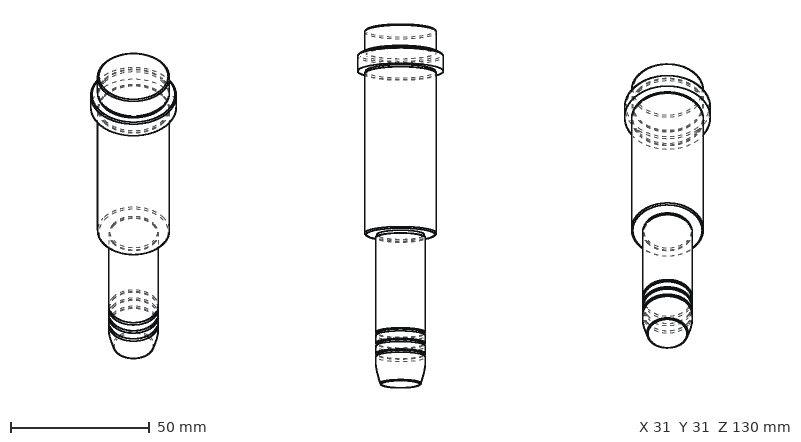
import cadquery as cq

total_height = 130.0
head_bottom = 122.1
flange_top = 121.2
flange_bottom = 115.0
body_bottom = 55.0
nose_height = 7.0

flange_radius = 15.5
body_radius = 13.0
pin_radius = 9.0
tip_radius = 7.4

edge_chamfer = 0.5
relief_depth = 0.4
relief_height = 0.8
neck_depth = 0.4
neck_height = 1.0
tip_chamfer = 0.4
nose_bulge = 0.2

highest_groove_top = 19.1
groove_pitch = 3.9
groove_count = 3
groove_depth = 0.4
groove_height = 1.2


def revolve_profile(outline):
    """Close an open outline, given as (radius, height), around the Z axis."""
    return outline.close().revolve(360, (0, 0, 0), (0, 1, 0))


def make_cylinder(radius, bottom, top):
    return cq.Workplane("XY").workplane(offset=bottom).circle(radius).extrude(top - bottom)


def make_body():
    """Wide shaft and head, with a relief on each side of the flange."""
    shaft = make_cylinder(body_radius, body_bottom, flange_bottom - relief_height)
    shaft = shaft.faces("<Z").chamfer(edge_chamfer)
    head = make_cylinder(body_radius, head_bottom, total_height)
    head = head.faces(">Z").chamfer(edge_chamfer)
    core = make_cylinder(body_radius - relief_depth, body_bottom + edge_chamfer, head_bottom)
    return core.union(shaft).union(head)


def make_flange():
    flange = make_cylinder(flange_radius, flange_bottom, flange_top)
    return flange.faces(">Z").chamfer(edge_chamfer)


def make_pin():
    """Guide pin with a curved nose, a chamfered tip and a neck below the body."""
    neck_radius = pin_radius - neck_depth
    nose_middle = ((pin_radius + tip_radius) / 2 + nose_bulge, (nose_height + tip_chamfer) / 2)
    outline = (
        cq.Workplane("XZ")
        .lineTo(tip_radius - tip_chamfer, 0)
        .lineTo(tip_radius, tip_chamfer)
        .threePointArc(nose_middle, (pin_radius, nose_height))
        .lineTo(pin_radius, body_bottom - neck_height)
        .lineTo(neck_radius, body_bottom - neck_height)
        .lineTo(neck_radius, body_bottom + edge_chamfer)
        .lineTo(0, body_bottom + edge_chamfer)
    )
    return revolve_profile(outline)


def make_groove(top):
    """Ring of material to remove for one groove."""
    floor_radius = pin_radius - groove_depth
    outline = (
        cq.Workplane("XZ")
        .moveTo(pin_radius, top)
        .lineTo(floor_radius, top - groove_depth)
        .lineTo(pin_radius, top - groove_height)
    )
    return revolve_profile(outline)


result = make_body().union(make_flange()).union(make_pin())
for index in range(groove_count):
    result = result.cut(make_groove(highest_groove_top - index * groove_pitch))